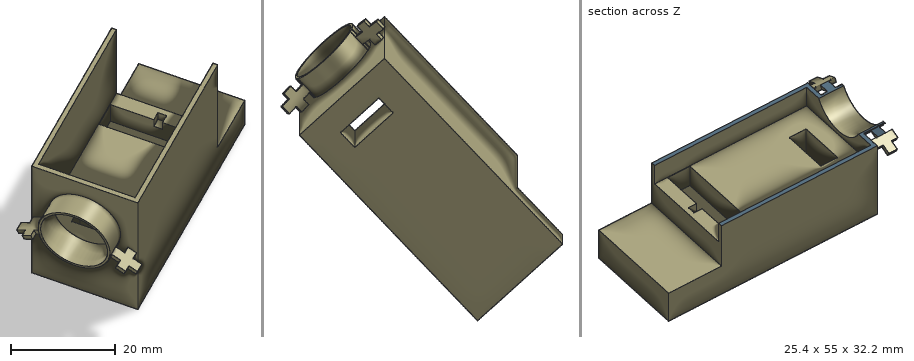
import cadquery as cq
import math

wall = 1.0
cavity_width = 20.2
housing_width = cavity_width + 2 * wall
housing_length = 50.0
housing_height = 32.2
ledge_length = 12.65
ledge_height = 7.3
wall_length = housing_length - ledge_length

floor_height = 13.0
slot_width = 20.0
slot_front = 29.0
slot_length = 5.3
slot_depth = 5.0
slot_back = slot_front + slot_length
notch_width = 1.8
notch_length = 1.9
notch_depth = 2.0
window_width = 10.0
window_length = 4.0
window_front = 5.0

bore_radius = 7.0
collar_wall = 0.5
collar_radius = bore_radius + collar_wall
collar_length = 5.0
collar_height = 20.93

overall_width = 25.35
wing_slope = 25.0
wing_thickness = 1.0
wing_length = 6.0
wing_arm = 2.0
root_outer = 7.6
root_inner = 7.2
slope_angle = math.radians(wing_slope)
wing_tip = (overall_width / 2 - wing_thickness * math.sin(slope_angle)) / math.cos(slope_angle)
wing_start = wing_tip - wing_length
arm_start = wing_start + (wing_length - wing_arm) / 2


def block(width, length, height, front, bottom):
    """Box centred on X, with its front face and its underside at the given Y and Z."""
    box = cq.Workplane("XY").box(width, length, height, centered=(True, False, False))
    return box.translate((0, front, bottom))


def recess(width, length, depth, front):
    """Cutter for a pocket sunk from the cavity floor."""
    return block(width, length, depth, front, floor_height - depth)


def collar_cylinder(radius, back):
    """Cylinder on the collar axis, from the collar's front end to the given Y."""
    start = cq.Workplane("XZ", origin=(0, back, collar_height))
    return start.circle(radius).extrude(collar_length + back)


def wing_bar(start, end, width):
    """Flat bar of a wing, reaching along X and centred on the collar's length."""
    bar = cq.Workplane("XY").box(end - start, width, wing_thickness, centered=(False, True, False))
    return bar.translate((start, -collar_length / 2, 0))


def make_wing():
    """Wing of the +X side: a cross on a narrow root strip, trimmed to the outside of the collar."""
    wing = wing_bar(root_inner, wing_tip, wing_arm)
    wing = wing.union(wing_bar(arm_start, arm_start + wing_arm, collar_length))
    wing = wing.union(wing_bar(root_inner, root_outer, collar_length))
    wing = wing.rotate((0, 0, 0), (0, 1, 0), wing_slope)
    wing = wing.translate((0, 0, collar_height))
    return wing.cut(collar_cylinder(collar_radius, 0))


def make_housing():
    """Box with ledge, floor recesses and collar; the +X wing is part of it."""
    body = block(housing_width, housing_length, ledge_height, 0, 0)
    body = body.union(block(housing_width, wall_length, housing_height, 0, 0))
    cavity_height = housing_height - floor_height
    body = body.cut(block(cavity_width, wall_length - wall, cavity_height, wall, floor_height))
    body = body.cut(recess(slot_width, slot_length, slot_depth, slot_front))
    body = body.cut(recess(notch_width, notch_length, notch_depth, slot_back))
    body = body.cut(recess(window_width, window_length, floor_height, window_front))
    body = body.union(collar_cylinder(collar_radius, 0))
    body = body.union(make_wing())
    return body.cut(collar_cylinder(bore_radius, wall))


def make_loose_wing():
    """Separate wing on the -X side, resting against the collar and the front face."""
    return make_wing().mirror("YZ")


housing = make_housing().solids()
loose_wing = make_loose_wing().solids()
result = cq.Compound.makeCompound([housing.val(), loose_wing.val()])